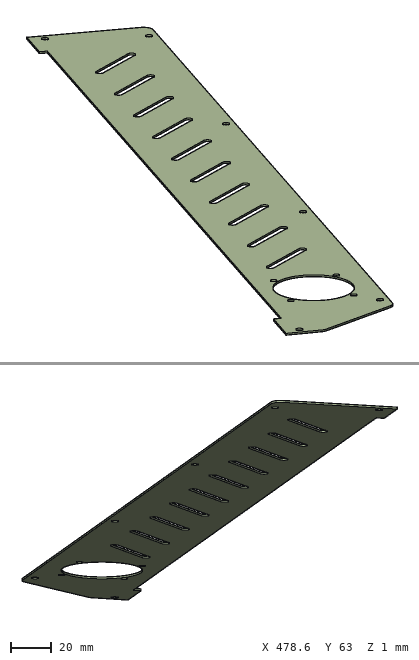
import cadquery as cq
import math

length = 478.57
width = 63.0
thickness = 1.0
corner_radius = 5.0

foot_length = 23.5
foot_height = 4.0

right_edge_height = 19.8
right_edge_top_x = 478.0
slope_run = 28.75

mount_hole_diameter = 3.5
mount_edge_distance = 4.5
foot_hole_y = 8.0
top_hole_start = 13.7
top_hole_pitch = 142.15
top_hole_count = 4

slot_count = 10
slot_pitch = 35.0
slot_width = 4.0
slot_center_span = 22.5
slot_length = slot_center_span * math.sqrt(2) + slot_width
slot_angle = -45.0
first_slot_x = 50.7
slot_center_y = 31.3

fan_x = 413.5
fan_y = 32.0
fan_opening_diameter = 40.0
fan_screw_spacing = 32.0
fan_screw_diameter = 3.2


def make_plate():
    """Flat plate with its lower left corner at the origin and three rounded corners."""
    right_corner = (right_edge_top_x, right_edge_height)
    top_right_corner = (right_edge_top_x - slope_run, width)
    top_left_corner = (0, width)
    outline = [
        (0, 0),
        (foot_length, 0),
        (foot_length, foot_height),
        (length - foot_length, foot_height),
        (length - foot_length, 0),
        (length, 0),
        right_corner,
        top_right_corner,
        top_left_corner,
    ]
    plate = cq.Workplane("XY").polyline(outline).close().extrude(thickness)
    for x, y in (right_corner, top_right_corner, top_left_corner):
        corner = cq.selectors.NearestToPointSelector((x, y, thickness / 2))
        plate = plate.edges("|Z").edges(corner).fillet(corner_radius)
    return plate


def cut_mount_holes(plate):
    """Row of holes along the top edge and one hole above each foot."""
    top_y = width - mount_edge_distance
    points = [(top_hole_start + i * top_hole_pitch, top_y) for i in range(top_hole_count)]
    points += [(mount_edge_distance, foot_hole_y), (length - mount_edge_distance, foot_hole_y)]
    holes = cq.Workplane("XY").pushPoints(points).circle(mount_hole_diameter / 2).extrude(thickness)
    return plate.cut(holes)


def cut_slots(plate):
    """Row of evenly spaced diagonal slots with round ends."""
    points = [(first_slot_x + i * slot_pitch, slot_center_y) for i in range(slot_count)]
    slots = cq.Workplane("XY").pushPoints(points).slot2D(slot_length, slot_width, slot_angle).extrude(thickness)
    return plate.cut(slots)


def cut_fan_opening(plate):
    """Round air opening with a screw hole at each corner of a square."""
    fan = cq.Workplane("XY").center(fan_x, fan_y)
    opening = fan.circle(fan_opening_diameter / 2).extrude(thickness)
    screws = (
        fan.rect(fan_screw_spacing, fan_screw_spacing, forConstruction=True)
        .vertices()
        .circle(fan_screw_diameter / 2)
        .extrude(thickness)
    )
    return plate.cut(opening).cut(screws)


plate = make_plate()
plate = cut_mount_holes(plate)
plate = cut_slots(plate)
result = cut_fan_opening(plate)